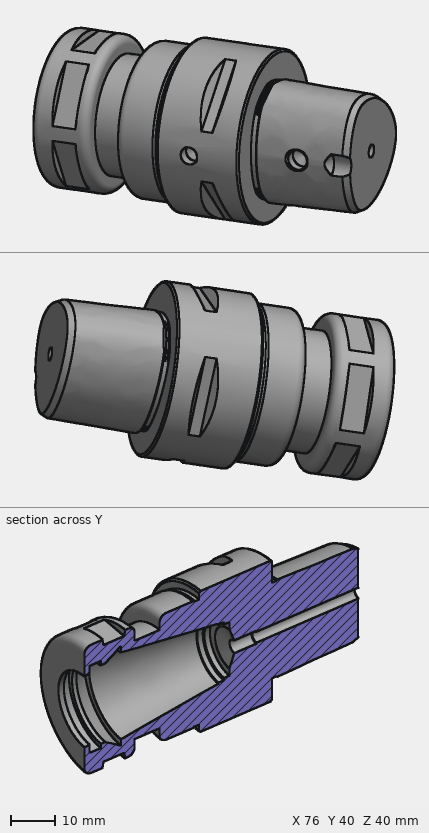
import cadquery as cq
import math


LENGTH = 76.0
NUT_END = 14.05
NECK_END = 20.8
BARREL_END = 30.0
RELIEF_START = 30.6
COLLAR_START = 31.8
COLLAR_END = 52.05
GROOVE_END = 52.9
SHANK_NECK_END = 53.3
SHANK_START = 53.5
SHANK_LEAD_START = 74.4

NUT_DIA = 36.4
NECK_DIA = 28.0
BARREL_DIA = 36.0
RELIEF_DIA = 35.6
COLLAR_DIA = 40.0
EDGE_ROUND = 2.0
COLLAR_CHAMFER = 0.45
GROOVE_ROOT = 0.3

SHANK_RADIUS = 14.05
SHANK_TIP_RADIUS = 13.5
SHANK_END_RADIUS = 12.8
SHANK_NECK_RADIUS = 13.8
LOBE = 0.9
LOBE_POINTS = 48

MOUTH_DIA = 20.0
MOUTH_LIP = 1.5
NUT_GROOVE_DIA = 24.5
RIB_DIA = 22.1
RIB_START = 4.55
RIB_END = 5.8
SEAT_FACE = 10.1
SEAT_CLEARANCE_DIA = 28.0
TAPER_DIA = 24.5
TAPER_END_DIA = 16.9
TAPER_ANGLE = 8.0
STEP_DIA = 16.3
STEP_LENGTH = 1.5
FLOOR_DIA = 15.0
FLOOR_LENGTH = 1.5
FUNNEL_DIA = 10.95
FUNNEL_HALF_ANGLE = 70.0
COOLANT_DIA = 3.5
COOLANT_LENGTH = 6.1
COOLANT_END_DIA = 3.0

FLAT_COUNT = 6
FLAT_RADIUS = 16.6
FLAT_START = 5.4
FLAT_WIDTH = 5.6
FLAT_WALL_ANGLE = 10.0

GRIP_COUNT = 4
GRIP_CENTER = 43.9
GRIP_FLOOR_RADIUS = 17.7
GRIP_FLOOR_WIDTH = 2.65
GRIP_WALL_ANGLE = 30.0

DRILL_HALF_ANGLE = 59.0
COLLAR_HOLE_X = 39.9
COLLAR_HOLE_DIA = 4.0
COLLAR_HOLE_DEPTH = 3.0
SHANK_HOLE_X = 63.4
SHANK_HOLE_DIA = 4.6
SHANK_HOLE_RIM_DIA = 5.4
SHANK_HOLE_DEPTH = 3.05
KEYWAY_DIA = 5.85
KEYWAY_START = 71.75
KEYWAY_AXIS_RADIUS = 14.0

OVERCUT = 0.75


def drill_tip(diameter):
    """Length of the drill cone that ends a hole of this diameter."""
    return diameter / 2 / math.tan(math.radians(DRILL_HALF_ANGLE))


def turned_body():
    """Nut, neck, barrel and collar as one turned outline."""
    round_corner = EDGE_ROUND * (1 - math.sqrt(0.5))
    nut_r = NUT_DIA / 2
    barrel_r = BARREL_DIA / 2
    collar_r = COLLAR_DIA / 2
    outline = (
        cq.Workplane("XY")
        .moveTo(0, 0)
        .lineTo(0, nut_r - EDGE_ROUND)
        .threePointArc((round_corner, nut_r - round_corner), (EDGE_ROUND, nut_r))
        .lineTo(NUT_END - EDGE_ROUND, nut_r)
        .threePointArc((NUT_END - round_corner, nut_r - round_corner), (NUT_END, nut_r - EDGE_ROUND))
        .lineTo(NUT_END, NECK_DIA / 2)
        .lineTo(NECK_END, NECK_DIA / 2)
        .lineTo(NECK_END, barrel_r - EDGE_ROUND)
        .threePointArc((NECK_END + round_corner, barrel_r - round_corner), (NECK_END + EDGE_ROUND, barrel_r))
        .lineTo(BARREL_END, barrel_r)
        .lineTo(RELIEF_START, RELIEF_DIA / 2)
        .lineTo(COLLAR_START, RELIEF_DIA / 2)
        .lineTo(COLLAR_START, collar_r - COLLAR_CHAMFER)
        .lineTo(COLLAR_START + COLLAR_CHAMFER, collar_r)
        .lineTo(COLLAR_END - COLLAR_CHAMFER, collar_r)
        .lineTo(COLLAR_END, collar_r - COLLAR_CHAMFER)
        .lineTo(COLLAR_END, 0)
        .close()
    )
    return outline.revolve(360, (0, 0, 0), (1, 0, 0))


def lobed_wire(x, radius):
    """Closed three-lobed curve at x, traced from its support function."""
    points = []
    for i in range(LOBE_POINTS):
        angle = 2 * math.pi * i / LOBE_POINTS
        support = radius + LOBE * math.cos(3 * angle)
        slope = -3 * LOBE * math.sin(3 * angle)
        y = support * math.cos(angle) - slope * math.sin(angle)
        z = support * math.sin(angle) + slope * math.cos(angle)
        points.append(cq.Vector(x, y, z))
    return cq.Wire.assembleEdges([cq.Edge.makeSpline(points, periodic=True)])


def lobed_length(x_start, radius_start, x_end, radius_end):
    """Solid stretch of shank between two lobed curves."""
    wires = [lobed_wire(x_start, radius_start), lobed_wire(x_end, radius_end)]
    return cq.Workplane(cq.Solid.makeLoft(wires, True))


def shank_envelope():
    """Turned limit of the shank: a groove at the collar that trims only the lobes."""
    groove_r = NECK_DIA / 2
    collar_r = COLLAR_DIA / 2
    outline = [
        (COLLAR_END, 0),
        (COLLAR_END, groove_r + GROOVE_ROOT),
        (COLLAR_END + GROOVE_ROOT, groove_r),
        (GROOVE_END, groove_r),
        (GROOVE_END + collar_r - groove_r, collar_r),
        (LENGTH, collar_r),
        (LENGTH, 0),
    ]
    return cq.Workplane("XY").polyline(outline).close().revolve(360, (0, 0, 0), (1, 0, 0))


def shank():
    """Polygon shank: slightly smaller neck, long taper and a steeper lead-in end."""
    stations = [
        (COLLAR_END, SHANK_NECK_RADIUS),
        (SHANK_NECK_END, SHANK_NECK_RADIUS),
        (SHANK_START, SHANK_RADIUS),
        (SHANK_LEAD_START, SHANK_TIP_RADIUS),
        (LENGTH, SHANK_END_RADIUS),
    ]
    lobed = cq.Workplane()
    for start, end in zip(stations, stations[1:]):
        lobed = lobed.add(lobed_length(*start, *end))
    return lobed.combine().intersect(shank_envelope())


def bore():
    """Collet bore: undercut nut mouth, collet taper, stepped floor and coolant hole."""
    taper_run = (TAPER_DIA - TAPER_END_DIA) / 2 / math.tan(math.radians(TAPER_ANGLE))
    taper_end = SEAT_FACE + taper_run
    step_end = taper_end + STEP_LENGTH
    floor = step_end + FLOOR_LENGTH
    funnel_end = floor + (FUNNEL_DIA - COOLANT_DIA) / 2 / math.tan(math.radians(FUNNEL_HALF_ANGLE))
    coolant_end = funnel_end + COOLANT_LENGTH
    outline = [
        (0, 0),
        (0, MOUTH_DIA / 2),
        (MOUTH_LIP, MOUTH_DIA / 2),
        (MOUTH_LIP, NUT_GROOVE_DIA / 2),
        (RIB_START, NUT_GROOVE_DIA / 2),
        (RIB_START, RIB_DIA / 2),
        (RIB_END, RIB_DIA / 2),
        (SEAT_FACE, SEAT_CLEARANCE_DIA / 2),
        (SEAT_FACE, TAPER_DIA / 2),
        (taper_end, TAPER_END_DIA / 2),
        (taper_end, STEP_DIA / 2),
        (step_end, STEP_DIA / 2),
        (step_end, FLOOR_DIA / 2),
        (floor, FLOOR_DIA / 2),
        (floor, FUNNEL_DIA / 2),
        (funnel_end, COOLANT_DIA / 2),
        (coolant_end, COOLANT_DIA / 2),
        (coolant_end, COOLANT_END_DIA / 2),
        (LENGTH, COOLANT_END_DIA / 2),
        (LENGTH, 0),
    ]
    return cq.Workplane("XY").polyline(outline).close().revolve(360, (0, 0, 0), (1, 0, 0))


def flared_groove(x_center, floor_radius, floor_width, wall_angle, outer_dia):
    """Straight groove across the +Z side of a cylinder, with walls leaning outwards."""
    top = outer_dia / 2 + OVERCUT
    half_floor = floor_width / 2
    half_top = half_floor + (top - floor_radius) * math.tan(math.radians(wall_angle))
    section = [
        (x_center - half_floor, floor_radius),
        (x_center + half_floor, floor_radius),
        (x_center + half_top, top),
        (x_center - half_top, top),
    ]
    return cq.Workplane("XZ").polyline(section).close().extrude(outer_dia / 2, both=True)


def around_axis(body, count, first_angle):
    """Copies of a body spaced evenly about X."""
    copies = cq.Workplane()
    for i in range(count):
        copies = copies.add(body.rotate((0, 0, 0), (1, 0, 0), first_angle + i * 360 / count))
    return copies.combine()


def nut_flats():
    flat = flared_groove(FLAT_START + FLAT_WIDTH / 2, FLAT_RADIUS, FLAT_WIDTH, FLAT_WALL_ANGLE, NUT_DIA)
    return around_axis(flat, FLAT_COUNT, 0)


def grip_grooves():
    groove = flared_groove(GRIP_CENTER, GRIP_FLOOR_RADIUS, GRIP_FLOOR_WIDTH, GRIP_WALL_ANGLE, COLLAR_DIA)
    return around_axis(groove, GRIP_COUNT, 180 / GRIP_COUNT)


def side_hole(x, diameter, surface, depth):
    """Blind hole drilled from the -Y side, its wall reaching depth below the surface."""
    radius = diameter / 2
    outline = [
        (x, -surface - OVERCUT),
        (x + radius, -surface - OVERCUT),
        (x + radius, -surface + depth),
        (x, -surface + depth + drill_tip(diameter)),
    ]
    return cq.Workplane("XY").polyline(outline).close().revolve(360, (x, 0, 0), (x, 1, 0))


def hole_rim(x, rim_dia, surface):
    """45 degree countersink that is rim_dia wide at the -Y surface."""
    outline = [
        (x, -surface - OVERCUT),
        (x + rim_dia / 2 + OVERCUT, -surface - OVERCUT),
        (x, -surface + rim_dia / 2),
    ]
    return cq.Workplane("XY").polyline(outline).close().revolve(360, (x, 0, 0), (x, 1, 0))


def keyway():
    """Round-bottomed slot along X with a 45 degree start, its axis outside the -Y surface."""
    radius = KEYWAY_DIA / 2
    bottom = radius - KEYWAY_AXIS_RADIUS
    outline = [
        (KEYWAY_START - radius, -KEYWAY_AXIS_RADIUS),
        (KEYWAY_START, bottom),
        (LENGTH + OVERCUT, bottom),
        (LENGTH + OVERCUT, -KEYWAY_AXIS_RADIUS),
    ]
    axis_start = (0, -KEYWAY_AXIS_RADIUS, 0)
    axis_end = (1, -KEYWAY_AXIS_RADIUS, 0)
    return cq.Workplane("XY").polyline(outline).close().revolve(360, axis_start, axis_end)


hole_travel = (SHANK_HOLE_X - SHANK_START) / (SHANK_LEAD_START - SHANK_START)
shank_side = SHANK_RADIUS - LOBE - hole_travel * (SHANK_RADIUS - SHANK_TIP_RADIUS)
collar_hole = side_hole(COLLAR_HOLE_X, COLLAR_HOLE_DIA, COLLAR_DIA / 2, COLLAR_HOLE_DEPTH)
shank_hole = side_hole(SHANK_HOLE_X, SHANK_HOLE_DIA, shank_side, SHANK_HOLE_DEPTH)
shank_hole_rim = hole_rim(SHANK_HOLE_X, SHANK_HOLE_RIM_DIA, shank_side)

result = (
    turned_body()
    .union(shank())
    .cut(bore())
    .cut(nut_flats())
    .cut(grip_grooves())
    .cut(collar_hole)
    .cut(shank_hole)
    .cut(shank_hole_rim)
    .cut(keyway())
)